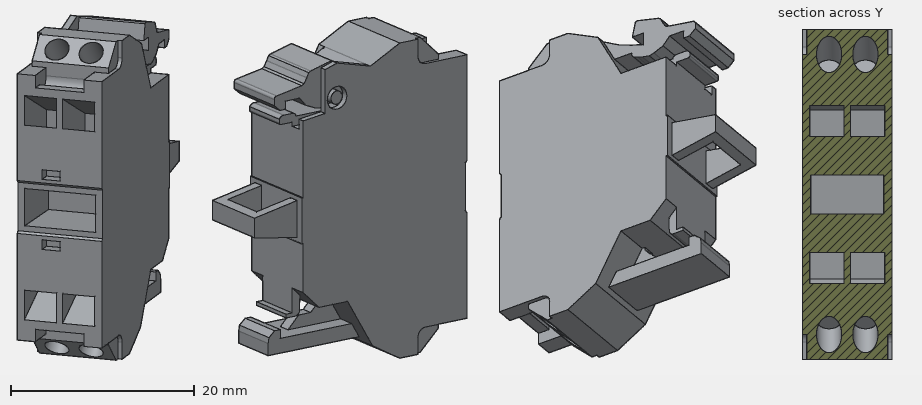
import cadquery as cq
import math

WIDTH = 9.8
HEIGHT = 36.0
DEPTH = 27.7
HALF_WIDTH = WIDTH / 2
HALF_HEIGHT = HEIGHT / 2

BACK = 21.8
FACE_HALF_HEIGHT = 15.05
SHOULDER_FRONT = 6.55
SHOULDER_BACK = 8.95
SHOULDER_RADIUS = 1.0
NECK_Y = 12.9
NECK_Z = 16.05
CHEEK_THICKNESS = 0.8
CORE_TOP = 10.25
STEP_Y = 15.9
BACK_PAD = 0.18
BACK_PAD_HALF_HEIGHT = 2.63

BAND_DEPTH = 0.2
BAND_HALF_HEIGHT = 3.0
BAND_SLOPE = 0.25
BUTTON_WIDTH = 8.2
BUTTON_FLOOR_WIDTH = 7.85
BUTTON_HEIGHT = 4.2
BUTTON_DEPTH = 7.2
WIRE_WIDTH = 3.7
WIRE_SPACING = 4.43
WIRE_LOW = 9.32
WIRE_HIGH = 12.67
WIRE_DEPTH = 7.2
WIRE_TILT = 0.48
SLOT_WIDTH = 2.1
SLOT_HEIGHT = 1.08
SLOT_DEPTH = 1.45
SLOT_X = -0.97
SLOT_CENTRES_Z = (3.92, -4.0)

BLOCK_WIDTH = 8.85
BLOCK_FRONT = 3.5
BLOCK_LIP = 15.65
BLOCK_TOP_FRONT = 5.95
SCREW_DIAMETER = 2.7
SCREW_SPACING = 3.95
SCREW_DEPTH = 4.32
NOTCH_WIDTH = 5.6
NOTCH_SILL = 13.65
NOTCH_SILL_DEPTH = 1.4
GROOVE_TOP = 14.1
GROOVE_RADIUS = 1.5

LEVER_WIDTH = 7.65
PIVOT_Y = 17.3
PIVOT_Z = 13.25
PIVOT_HOLE_DIAMETER = 2.6
PIN_DIAMETER = 1.5
PIN_RECESS = 0.07
HOOK_RADIUS = 0.35

PLUNGER_WIDTH = 8.0
PLUNGER_WINDOW_WIDTH = 5.47
PLUNGER_TIP_WALL = 1.2
PLUNGER_BASE_HALF_HEIGHT = 2.12
PLUNGER_TIP_HALF_HEIGHT = 1.1

CATCH_WIDTH = 5.6
GUSSET_WIDTH = 1.45
OVERLAP = 1.08


def slab(outline, x_min, x_max):
    """Extrude a closed sketch given in (Y, Z) from x_min to x_max."""
    return outline.close().extrude(x_max - x_min).translate((x_min, 0, 0))


def side_sketch(y, z):
    return cq.Workplane("YZ").moveTo(y, z)


def centred_slab(points, width):
    return slab(cq.Workplane("YZ").polyline(points), -width / 2, width / 2)


def box(x, y, z):
    """Box from three (min, max) ranges."""
    size = [high - low for low, high in (x, y, z)]
    return cq.Workplane("XY").box(*size, centered=False).translate((x[0], y[0], z[0]))


def both_ends(shape):
    return shape.union(shape.mirror("XY"))


def housing_plate(back_edge, x_min, x_max):
    """Housing outline with the given upper back edge, listed from the neck to the back."""
    arc_end_y = SHOULDER_FRONT - SHOULDER_RADIUS
    arc_end_z = FACE_HALF_HEIGHT
    arc_start_z = FACE_HALF_HEIGHT + SHOULDER_RADIUS
    outline = side_sketch(0, -FACE_HALF_HEIGHT).lineTo(0, arc_end_z).lineTo(arc_end_y, arc_end_z)
    outline = outline.radiusArc((SHOULDER_FRONT, arc_start_z), -SHOULDER_RADIUS)
    outline = outline.lineTo(SHOULDER_FRONT, HALF_HEIGHT).lineTo(SHOULDER_BACK, HALF_HEIGHT)
    lower_back = [
        (BACK, -8.2),
        (19.73, -CORE_TOP),
        (STEP_Y, -CORE_TOP),
        (12.6, -15.9),
        (SHOULDER_BACK, -HALF_HEIGHT),
        (SHOULDER_FRONT, -HALF_HEIGHT),
        (SHOULDER_FRONT, -arc_start_z),
    ]
    for point in back_edge + lower_back:
        outline = outline.lineTo(*point)
    outline = outline.radiusArc((arc_end_y, -arc_end_z), -SHOULDER_RADIUS)
    return slab(outline, x_min, x_max)


def housing():
    cheek_inside = -HALF_WIDTH + CHEEK_THICKNESS
    cheek_edge = [(NECK_Y, NECK_Z), (PIVOT_Y, 17.2), (18.9, 16.75), (18.9, 11.75), (BACK, 11.4)]
    core_edge = [(NECK_Y, NECK_Z), (STEP_Y, CORE_TOP), (BACK, CORE_TOP)]
    body = housing_plate(cheek_edge, -HALF_WIDTH, cheek_inside)
    pivot_hole = (
        side_sketch(PIVOT_Y, PIVOT_Z)
        .circle(PIVOT_HOLE_DIAMETER / 2)
        .extrude(CHEEK_THICKNESS)
        .translate((-HALF_WIDTH, 0, 0))
    )
    body = body.cut(pivot_hole).union(housing_plate(core_edge, cheek_inside, HALF_WIDTH))
    pad = box(
        (-HALF_WIDTH, HALF_WIDTH),
        (BACK - OVERLAP, BACK + BACK_PAD),
        (-BACK_PAD_HALF_HEIGHT, BACK_PAD_HALF_HEIGHT),
    )
    return body.union(pad)


def terminal_block():
    points = [
        (BLOCK_FRONT, FACE_HALF_HEIGHT - OVERLAP),
        (BLOCK_FRONT, BLOCK_LIP),
        (BLOCK_TOP_FRONT, HALF_HEIGHT),
        (SHOULDER_FRONT + OVERLAP, HALF_HEIGHT),
        (SHOULDER_FRONT + OVERLAP, FACE_HALF_HEIGHT - OVERLAP),
    ]
    return centred_slab(points, BLOCK_WIDTH)


def screw_holes():
    """Two holes square to the sloped face of the upper terminal block."""
    run = BLOCK_TOP_FRONT - BLOCK_FRONT
    rise = HALF_HEIGHT - BLOCK_LIP
    length = math.hypot(run, rise)
    middle = cq.Vector(0, BLOCK_FRONT + run / 2, BLOCK_LIP + rise / 2)
    inward = cq.Vector(0, rise / length, -run / length)
    plane = cq.Plane(origin=middle, xDir=(1, 0, 0), normal=inward)
    centres = [(-SCREW_SPACING / 2, 0), (SCREW_SPACING / 2, 0)]
    return cq.Workplane(plane).pushPoints(centres).circle(SCREW_DIAMETER / 2).extrude(SCREW_DEPTH)


def front_notch():
    """Notch in the edge of the front face: a sill, then a groove curving up to the block."""
    groove_floor = GROOVE_TOP - GROOVE_RADIUS
    outline = (
        side_sketch(0, NOTCH_SILL)
        .lineTo(NOTCH_SILL_DEPTH, NOTCH_SILL)
        .lineTo(NOTCH_SILL_DEPTH, groove_floor)
        .lineTo(BLOCK_FRONT - GROOVE_RADIUS, groove_floor)
        .radiusArc((BLOCK_FRONT, GROOVE_TOP), -GROOVE_RADIUS)
        .lineTo(BLOCK_FRONT, FACE_HALF_HEIGHT)
        .lineTo(0, FACE_HALF_HEIGHT)
    )
    return slab(outline, -NOTCH_WIDTH / 2, NOTCH_WIDTH / 2)


def wire_openings():
    """Pair of wire channels that slope from the front face towards the middle."""
    drop = WIRE_TILT * WIRE_DEPTH
    points = [
        (0, WIRE_LOW),
        (0, WIRE_HIGH),
        (WIRE_DEPTH, WIRE_HIGH - drop),
        (WIRE_DEPTH, WIRE_LOW - drop),
    ]
    channel = centred_slab(points, WIRE_WIDTH)
    right = channel.translate((WIRE_SPACING / 2, 0, 0))
    return right.union(channel.translate((-WIRE_SPACING / 2, 0, 0)))


def front_band():
    """Shallow band across the middle of the front face with sloped edges."""
    floor_half_height = BAND_HALF_HEIGHT - BAND_SLOPE
    points = [
        (0, -BAND_HALF_HEIGHT),
        (0, BAND_HALF_HEIGHT),
        (BAND_DEPTH, floor_half_height),
        (BAND_DEPTH, -floor_half_height),
    ]
    return centred_slab(points, WIDTH)


def button_pocket():
    """Deep pocket in the band whose two side walls taper inwards."""
    floor_y = BAND_DEPTH + BUTTON_DEPTH
    points = [
        (-BUTTON_WIDTH / 2, BAND_DEPTH),
        (BUTTON_WIDTH / 2, BAND_DEPTH),
        (BUTTON_FLOOR_WIDTH / 2, floor_y),
        (-BUTTON_FLOOR_WIDTH / 2, floor_y),
    ]
    return cq.Workplane("XY").polyline(points).close().extrude(BUTTON_HEIGHT / 2, both=True)


def marker_slots():
    slots = cq.Workplane("XY")
    for z in SLOT_CENTRES_Z:
        slots = slots.union(
            box(
                (SLOT_X - SLOT_WIDTH / 2, SLOT_X + SLOT_WIDTH / 2),
                (0, SLOT_DEPTH),
                (z - SLOT_HEIGHT / 2, z + SLOT_HEIGHT / 2),
            )
        )
    return slots


def lever():
    """Latch lever: rear hook, raised grip, hinge eye and the tongue joining it to the neck."""
    pin_radius = PIN_DIAMETER / 2
    outline = side_sketch(NECK_Y, NECK_Z)
    tongue_and_grip = [
        (14.98, 14.9),
        (16.6, 14.3),
        (18.1, 13.82),
        (18.1, 15.3),
        (16.65, 15.3),
        (17.05, 17.1),
        (PIVOT_Y, 17.2),
        (20.1, 16.52),
        (20.35, 16.38),
        (20.6, 15.85),
        (20.95, 15.23),
        (21.25, 15.05),
    ]
    hook = [
        (24.9, 14.45),
        (24.9, 13.43),
        (24.15, 12.75),
        (23.4, 12.75),
        (23.4, 13.68),
        (21.55, 13.68),
        (20.7, 12.7),
        (19.5, 12.2),
        (18.9, 12.05),
        (18.0, 12.25),
    ]
    for point in tongue_and_grip + hook:
        outline = outline.lineTo(*point)
    outline = outline.lineTo(PIVOT_Y, PIVOT_Z - pin_radius)
    outline = outline.radiusArc((PIVOT_Y - pin_radius, PIVOT_Z), pin_radius)
    outline = outline.lineTo(NECK_Y, PIVOT_Z)
    arm = slab(outline, -LEVER_WIDTH / 2, LEVER_WIDTH / 2)
    arm = arm.faces(">Y").edges(">Z").fillet(HOOK_RADIUS)
    pin_start = -HALF_WIDTH + PIN_RECESS
    pin = side_sketch(PIVOT_Y, PIVOT_Z).circle(pin_radius).extrude(-pin_start)
    return arm.union(pin.translate((pin_start, 0, 0)))


def plunger():
    base = BACK - OVERLAP
    root = BACK + BACK_PAD
    points = [
        (base, -PLUNGER_BASE_HALF_HEIGHT),
        (root, -PLUNGER_BASE_HALF_HEIGHT),
        (DEPTH, -PLUNGER_TIP_HALF_HEIGHT),
        (DEPTH, PLUNGER_TIP_HALF_HEIGHT),
        (root, PLUNGER_BASE_HALF_HEIGHT),
        (base, PLUNGER_BASE_HALF_HEIGHT),
    ]
    window = box(
        (-PLUNGER_WINDOW_WIDTH / 2, PLUNGER_WINDOW_WIDTH / 2),
        (root, DEPTH - PLUNGER_TIP_WALL),
        (-PLUNGER_BASE_HALF_HEIGHT, PLUNGER_BASE_HALF_HEIGHT),
    )
    return centred_slab(points, PLUNGER_WIDTH).cut(window)


def lower_bracket():
    """Fixed hook under the housing with a stepped gusset above its bar."""
    bar_top = -13.68
    bar_bottom = -15.37
    hook_top = -12.67
    bar_start = 11.52
    gusset_root = -9.72
    bar = [
        (bar_start, bar_bottom),
        (25.02, bar_bottom),
        (25.02, -13.95),
        (24.9, -13.32),
        (24.15, hook_top),
        (23.4, hook_top),
        (23.4, bar_top),
        (bar_start, bar_top),
    ]
    gusset = [
        (20.9, bar_top),
        (19.5, -12.25),
        (17.9, -12.25),
        (16.27, -10.6),
        (16.27, gusset_root),
        (bar_start, gusset_root),
        (bar_start, bar_top),
    ]
    return centred_slab(bar, CATCH_WIDTH).union(centred_slab(gusset, GUSSET_WIDTH))


def upper_tab():
    """Rounded tab below the lever hook, carried by a rib that runs along the top of the core."""
    rib_top = 11.35
    bottom = 10.73
    top = 11.75
    tip = 23.55
    back_radius = 0.55
    nose_radius = 0.7
    lip_radius = 0.2
    outline = (
        side_sketch(STEP_Y - OVERLAP, CORE_TOP - OVERLAP)
        .lineTo(STEP_Y - OVERLAP, rib_top)
        .lineTo(21.28, rib_top)
        .radiusArc((21.75, top), back_radius)
        .lineTo(22.95, top)
        .radiusArc((tip, 11.38), nose_radius)
        .lineTo(tip, bottom + lip_radius)
        .radiusArc((tip - lip_radius, bottom), lip_radius)
        .lineTo(BACK, bottom)
        .lineTo(BACK, CORE_TOP - OVERLAP)
    )
    return slab(outline, -CATCH_WIDTH / 2, CATCH_WIDTH / 2)


def lower_foot():
    """L-shaped catch hanging from the chamfered lower back corner."""
    bottom = -11.5
    toe_top = -11.05
    toe_tip = 22.65
    root = -7.2
    heel_radius = 0.58
    outline = (
        side_sketch(BACK, root)
        .lineTo(BACK, toe_top)
        .lineTo(toe_tip, toe_top)
        .lineTo(toe_tip, bottom)
        .lineTo(21.42, bottom)
        .radiusArc((20.85, -10.9), heel_radius)
        .lineTo(20.75, root)
    )
    return slab(outline, -CATCH_WIDTH / 2, CATCH_WIDTH / 2)


body = housing().union(both_ends(terminal_block()))
for cutter in (screw_holes(), front_notch(), wire_openings()):
    body = body.cut(both_ends(cutter))
for cutter in (front_band(), button_pocket(), marker_slots()):
    body = body.cut(cutter)
for piece in (lever(), plunger(), lower_bracket(), upper_tab(), lower_foot()):
    body = body.union(piece)

result = body